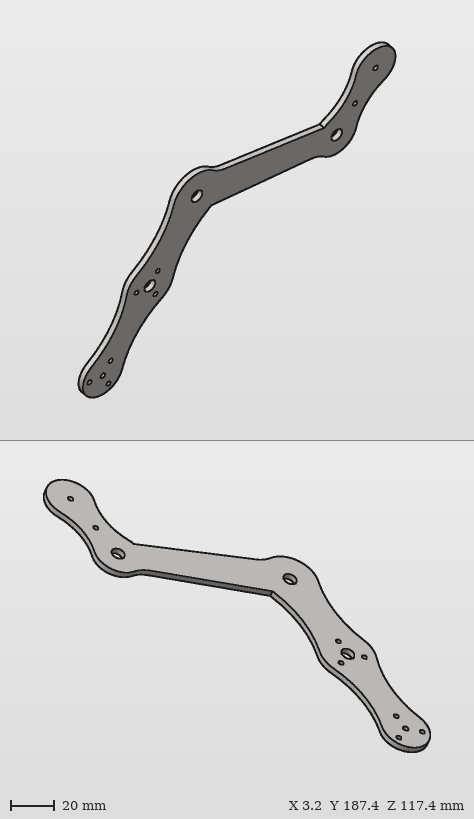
import cadquery as cq
import math

THICKNESS = 3.2

SMALL_PAD_RADIUS = 12.0
LARGE_PAD_RADIUS = 14.2
TOP_END = (81.7, 46.7)
LOWER_BEND = (58.5, 18.5)
UPPER_BEND = (-25.3, 32.6)
BOTTOM_END = (-81.7, -46.7)
MIDDLE = ((UPPER_BEND[0] + BOTTOM_END[0]) / 2, (UPPER_BEND[1] + BOTTOM_END[1]) / 2)

TOP_NECK_RADIUS = 30
MIDDLE_NECK_RADIUS = 55.3
BOTTOM_NECK_RADIUS = 51.5

ARM_HALF_WIDTH_LOW = 7.7
ARM_HALF_WIDTH_HIGH = 10.1
ARM_FILLET = 15
LOWER_CORNER = (48.3, 12.2)
UPPER_CORNER = (-13.5, 40.7)

PIVOT_DIAMETER = 6.4
END_HOLE_DIAMETER = 2.6
SCREW_DIAMETER = 2.5
SCREW_CIRCLE_RADIUS = 8.0
SCREW_COUNT = 3
NECK_HOLE_DISTANCE = 19.3


def direction(start, end):
    """Unit vector from start to end."""
    length = math.dist(start, end)
    return ((end[0] - start[0]) / length, (end[1] - start[1]) / length)


def offset(point, along, distance, side=0):
    """Move a point along a unit vector, then to the left of it by side."""
    return (
        point[0] + along[0] * distance - along[1] * side,
        point[1] + along[1] * distance + along[0] * side,
    )


def extrude(sketch):
    return sketch.extrude(THICKNESS / 2, both=True)


def disc(center, radius):
    return extrude(cq.Workplane("YZ").center(*center).circle(radius))


def polygon(points):
    return extrude(cq.Workplane("YZ").polyline(points).close())


def neck(start, start_radius, end, end_radius, arc_radius):
    """Web between two pads, bounded by arcs tangent to both pads."""
    length = math.dist(start, end)
    along = direction(start, end)
    start_reach = start_radius + arc_radius
    end_reach = end_radius + arc_radius
    distance = (start_reach**2 - end_reach**2 + length**2) / (2 * length)
    side = math.sqrt(start_reach**2 - distance**2)
    left = offset(start, along, distance, side)
    right = offset(start, along, distance, -side)
    web = polygon([start, left, end, right])
    return web.cut(disc(left, arc_radius)).cut(disc(right, arc_radius))


def arm():
    along = direction(LOWER_BEND, UPPER_BEND)
    return polygon([
        offset(LOWER_BEND, along, 0, ARM_HALF_WIDTH_LOW),
        offset(UPPER_BEND, along, 0, ARM_HALF_WIDTH_HIGH),
        offset(UPPER_BEND, along, 0, -ARM_HALF_WIDTH_HIGH),
        offset(LOWER_BEND, along, 0, -ARM_HALF_WIDTH_LOW),
    ])


def screw_circle(center):
    """Centres of evenly spaced screws, the first one facing the upper bend."""
    toward_bend = direction(BOTTOM_END, UPPER_BEND)
    first_angle = math.atan2(toward_bend[1], toward_bend[0])
    angles = [first_angle + 2 * math.pi * i / SCREW_COUNT for i in range(SCREW_COUNT)]
    return [offset(center, (math.cos(a), math.sin(a)), SCREW_CIRCLE_RADIUS) for a in angles]


plate = arm()
for center, radius in [
    (TOP_END, SMALL_PAD_RADIUS),
    (LOWER_BEND, SMALL_PAD_RADIUS),
    (UPPER_BEND, LARGE_PAD_RADIUS),
    (MIDDLE, LARGE_PAD_RADIUS),
    (BOTTOM_END, SMALL_PAD_RADIUS),
]:
    plate = plate.union(disc(center, radius))
plate = plate.union(neck(TOP_END, SMALL_PAD_RADIUS, LOWER_BEND, SMALL_PAD_RADIUS, TOP_NECK_RADIUS))
plate = plate.union(neck(UPPER_BEND, LARGE_PAD_RADIUS, MIDDLE, LARGE_PAD_RADIUS, MIDDLE_NECK_RADIUS))
plate = plate.union(neck(MIDDLE, LARGE_PAD_RADIUS, BOTTOM_END, SMALL_PAD_RADIUS, BOTTOM_NECK_RADIUS))

for corner in (LOWER_CORNER, UPPER_CORNER):
    nearest = cq.selectors.NearestToPointSelector((0, *corner))
    plate = plate.edges("|X").edges(nearest).fillet(ARM_FILLET)

neck_hole = offset(TOP_END, direction(TOP_END, LOWER_BEND), NECK_HOLE_DISTANCE)
for centers, diameter in [
    ([LOWER_BEND, UPPER_BEND, MIDDLE], PIVOT_DIAMETER),
    ([TOP_END, BOTTOM_END], END_HOLE_DIAMETER),
    ([neck_hole] + screw_circle(MIDDLE) + screw_circle(BOTTOM_END), SCREW_DIAMETER),
]:
    for center in centers:
        plate = plate.cut(disc(center, diameter / 2))

result = plate